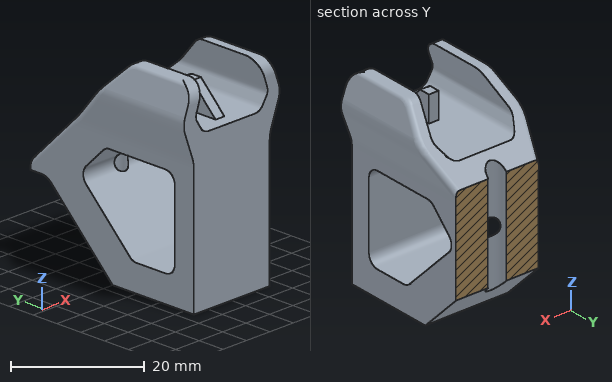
import cadquery as cq
import math

height = 36.97
depth = 34.3
base_half_width = 8.1
jaw_half_width = 10.2

flare_angle = math.radians(20)
flare_start = 24.4
flare_radius = 5.0
jaw_middle = 83.5
jaw_radius = 4.0
floor_height = 28.7
floor_corner_x = 6.03
inner_bulge_x = 7.8
inner_bulge_height = 31.5
mouth_half_width = 5.95
floor_corner_radius = 2.0
inner_bulge_radius = 1.5

slope_sum = 49.95
ledge_height = 13.75
base_depth = 17.08
outline_radius = 3.0
edge_radius = 1.0

window_front = 4.0
window_bottom = 5.0
window_top = 21.75
window_upper_sum = 40.22
window_lower_offset = 7.87
window_radius = 2.0

hole_diameter = 3.5
hole_y = 24.2
tooth_width = 1.9
tooth_front = 2.48
tooth_top_front = 7.4
tooth_back = 9.43
tooth_top = 33.65

margin = 3.7


def extrude_across(points, width):
    """Prism of a Y-Z outline, centred on X = 0."""
    return cq.Workplane("YZ").polyline(points).close().extrude(width / 2, both=True)


def mirrored(points):
    """Close a right-hand half outline with its mirror image."""
    return points + [(-x, z) for x, z in reversed(points)]


def extrude_back(points):
    """Prism of an X-Z outline, running the full depth from the front face."""
    return cq.Workplane("XZ").polyline(mirrored(points)).close().extrude(-depth)


def round_lengthwise(body, x, z, radius):
    """Round the pair of edges along Y nearest to (+x, z) and (-x, z)."""
    for side in (-1, 1):
        nearest = cq.selectors.NearestToPointSelector((side * x, depth / 2, z))
        body = body.edges("|Y").edges(nearest).fillet(radius)
    return body


def make_jaw_body():
    slant = math.tan(flare_angle)
    corner_x = jaw_half_width + jaw_radius * (1 / math.cos(flare_angle) - 1)
    flare_end = flare_start + (corner_x - base_half_width) / slant
    rim_x = corner_x - (height - flare_end) * slant
    body = extrude_back([
        (base_half_width, 0),
        (base_half_width, flare_start),
        (corner_x, flare_end),
        (rim_x, height),
    ])
    body = round_lengthwise(body, base_half_width, flare_start, flare_radius)
    return round_lengthwise(body, corner_x, flare_end, jaw_radius)


def make_side_outline():
    outline = extrude_across([
        (0, 0),
        (base_depth, 0),
        (base_depth + ledge_height, ledge_height),
        (depth, ledge_height),
        (depth, slope_sum - depth),
        (slope_sum - height, height),
        (0, height),
    ], 2 * (jaw_half_width + margin))
    for y, z in ((base_depth + ledge_height, ledge_height), (slope_sum - height, height)):
        nearest = cq.selectors.NearestToPointSelector((0, y, z))
        outline = outline.edges("|X").edges(nearest).fillet(outline_radius)
    return outline


def round_upper_edges(body):
    """Round the outer edges of the rim and of the sloping face."""
    for side in (-1, 1):
        rim = cq.selectors.NearestToPointSelector((side * jaw_half_width, outline_radius, height))
        body = body.faces(">Z").edges("|Y").edges(rim).fillet(edge_radius)
    return body


def make_channel():
    channel = extrude_back([
        (floor_corner_x, floor_height),
        (inner_bulge_x, inner_bulge_height),
        (mouth_half_width, height),
    ])
    channel = round_lengthwise(channel, floor_corner_x, floor_height, floor_corner_radius)
    return round_lengthwise(channel, inner_bulge_x, inner_bulge_height, inner_bulge_radius)


def make_front_corner_cutter():
    width = 2 * (jaw_half_width + margin)
    corner = cq.Workplane("XY").box(width, outline_radius, outline_radius, centered=(True, False, False))
    corner = corner.translate((0, 0, height - outline_radius))
    roller = (
        cq.Workplane("YZ")
        .center(outline_radius, height - outline_radius)
        .circle(outline_radius)
        .extrude(width / 2, both=True)
    )
    return corner.cut(roller)


def make_window():
    tip_y = (window_upper_sum + window_lower_offset) / 2
    window = extrude_across([
        (window_front, window_bottom),
        (window_bottom + window_lower_offset, window_bottom),
        (tip_y, tip_y - window_lower_offset),
        (window_upper_sum - window_top, window_top),
        (window_front, window_top),
    ], 2 * (jaw_half_width + margin))
    return window.edges("|X").fillet(window_radius)


def make_tooth():
    return extrude_across([
        (tooth_front, floor_height),
        (tooth_top_front, tooth_top),
        (tooth_back, tooth_top),
        (tooth_back, floor_height),
    ], tooth_width)


pin_hole = cq.Workplane("XY").center(0, hole_y).circle(hole_diameter / 2).extrude(height)

result = round_upper_edges(make_jaw_body().intersect(make_side_outline()))
result = result.cut(make_channel()).cut(make_front_corner_cutter())
result = result.cut(make_window()).cut(pin_hole).union(make_tooth())